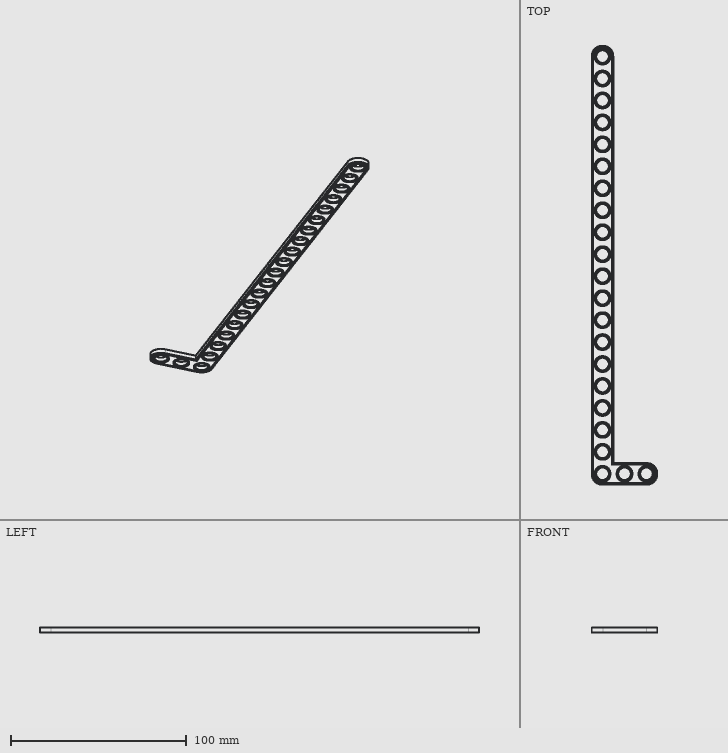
import cadquery as cq

pitch = 12.5
long_arm_holes = 20
short_arm_holes = 3
hole_diameter = 7.0
rim_width = 1.1
web_thickness = 2.8
recess_depth = 0.18
edge_chamfer = 0.3

thickness = web_thickness + 2 * recess_depth
hole_rim_diameter = hole_diameter + 2 * rim_width
long_arm_span = (long_arm_holes - 1) * pitch
short_arm_span = (short_arm_holes - 1) * pitch

hole_centres = [(0, i * pitch) for i in range(long_arm_holes)]
hole_centres += [(i * pitch, 0) for i in range(1, short_arm_holes)]


def mid_plane(height):
    """Workplane from which an extrusion of this height is centred on Z = 0."""
    return cq.Workplane("XY").workplane(offset=-height / 2)


def angle_plate(width, height):
    """L-shaped plate whose round ends are concentric with the end holes."""
    base = mid_plane(height)
    short_arm = base.center(short_arm_span / 2, 0).slot2D(short_arm_span + width, width).extrude(height)
    long_arm = base.center(0, long_arm_span / 2).slot2D(long_arm_span + width, width, 90).extrude(height)
    return short_arm.union(long_arm).clean()


def cylinders_at_holes(diameter, height):
    """One cylinder per hole centre."""
    return mid_plane(height).pushPoints(hole_centres).circle(diameter / 2).extrude(height)


def drilled_plate():
    """Full-thickness plate with its outline and hole mouths chamfered on both faces."""
    plate = angle_plate(pitch, thickness).cut(cylinders_at_holes(hole_diameter, thickness))
    return plate.faces("<Z or >Z").edges().chamfer(edge_chamfer)


def sunk_fields():
    """Material removed from both faces between the outline rim and the hole rims."""
    field = angle_plate(pitch - 2 * rim_width, thickness)
    field = field.cut(cylinders_at_holes(hole_rim_diameter, thickness))
    return field.cut(angle_plate(pitch, web_thickness))


result = drilled_plate().cut(sunk_fields())